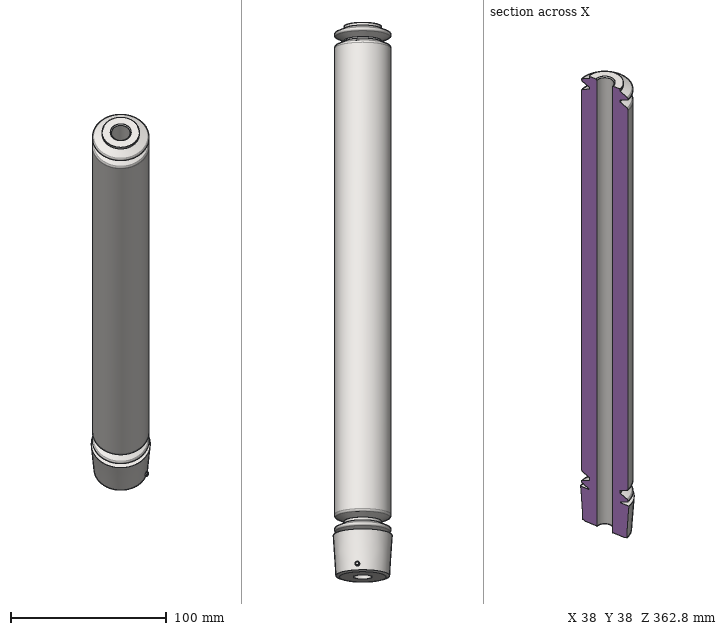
import cadquery as cq
import math

total_height = 362.84
cap_top_diameter = 38.0
body_diameter = 36.5
neck_diameter = 24.0
bore_diameter = 12.0
bore_chamfer = 0.75

cap_height = 27.3
cap_bottom_diameter = 34.6
cap_face_diameter = 30.0
cap_bevel_height = 0.8

cone_height = 2.6
rim_inset = 0.75
collar_rim_height = 2.4
body_round_height = 1.6

neck_height = 1.8
upper_gap_height = 1.0

pin_diameter = 3.0
pin_tip_span = 38.0
pin_height = 4.7
pin_chamfer = 0.5

cap_top_radius = cap_top_diameter / 2
cap_bottom_radius = cap_bottom_diameter / 2
cap_face_radius = cap_face_diameter / 2
body_radius = body_diameter / 2
rim_edge_radius = body_radius - rim_inset
neck_radius = neck_diameter / 2
bore_radius = bore_diameter / 2

collar_height = 2 * cone_height + collar_rim_height
body_base = cap_height + collar_height + neck_height
upper_collar_base = total_height - neck_height - collar_height
body_top = upper_collar_base - upper_gap_height


def revolve(outline):
    """Close an outline in the XZ plane and revolve it about the Z axis."""
    return outline.close().revolve(360, (0, 0, 0), (0, 1, 0))


def make_core():
    """Neck-sized core joining the cap, collars and body."""
    return cq.Workplane("XY").circle(neck_radius).extrude(total_height)


def make_cap():
    """Cap that widens upwards, with a bevelled bottom edge."""
    outline = cq.Workplane("XZ").polyline([
        (0, 0),
        (cap_face_radius, 0),
        (cap_bottom_radius, cap_bevel_height),
        (cap_top_radius, cap_height),
        (0, cap_height),
    ])
    return revolve(outline)


def make_collar(base):
    """Collar with a flat cone on each side of a rounded rim."""
    rim_base = base + cone_height
    rim_middle = rim_base + collar_rim_height / 2
    rim_top = rim_base + collar_rim_height
    top = base + collar_height
    outline = cq.Workplane("XZ").moveTo(0, base).lineTo(neck_radius, base)
    outline = outline.lineTo(rim_edge_radius, rim_base)
    outline = outline.threePointArc((body_radius, rim_middle), (rim_edge_radius, rim_top))
    outline = outline.lineTo(neck_radius, top).lineTo(0, top)
    return revolve(outline)


def make_body():
    """Long body whose wall rounds over into a flat cone at each end."""
    lower_edge = body_base + cone_height
    upper_edge = body_top - cone_height
    wall_base = lower_edge + body_round_height
    wall_top = upper_edge - body_round_height

    round_radius = (rim_inset**2 + body_round_height**2) / (2 * rim_inset)
    half_angle = math.asin(body_round_height / round_radius) / 2
    middle_radius = body_radius - round_radius * (1 - math.cos(half_angle))
    middle_rise = round_radius * math.sin(half_angle)

    outline = cq.Workplane("XZ").moveTo(0, body_base).lineTo(neck_radius, body_base)
    outline = outline.lineTo(rim_edge_radius, lower_edge)
    outline = outline.threePointArc((middle_radius, wall_base - middle_rise), (body_radius, wall_base))
    outline = outline.lineTo(body_radius, wall_top)
    outline = outline.threePointArc((middle_radius, wall_top + middle_rise), (rim_edge_radius, upper_edge))
    outline = outline.lineTo(neck_radius, body_top).lineTo(0, body_top)
    return revolve(outline)


def make_pins():
    """Pair of pins along X, standing out from opposite sides of the cap."""
    pin = cq.Workplane("YZ", origin=(0, 0, pin_height)).circle(pin_diameter / 2)
    return pin.extrude(pin_tip_span / 2, both=True).faces("<X or >X").chamfer(pin_chamfer)


def make_bore():
    """Axial bore through the whole part, chamfered at its upper mouth."""
    mouth_radius = bore_radius + bore_chamfer
    outline = cq.Workplane("XZ").polyline([
        (0, 0),
        (bore_radius, 0),
        (bore_radius, total_height - bore_chamfer),
        (mouth_radius, total_height),
        (0, total_height),
    ])
    return revolve(outline)


result = make_core().union(make_cap()).union(make_body()).union(make_pins())
for collar_base in (cap_height, upper_collar_base):
    result = result.union(make_collar(collar_base))
result = result.cut(make_bore())